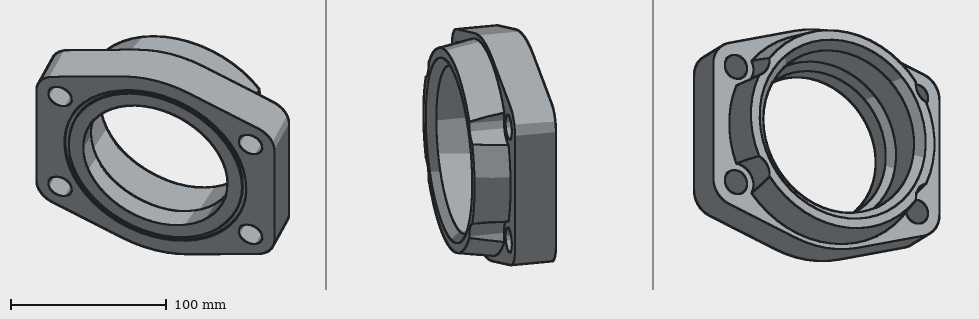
import cadquery as cq
import math

plate_width = 163.0
plate_thickness = 27.2
crown_radius = 73.5
corner_radius = 16.3

bolt_x = plate_width / 2 - corner_radius
bolt_z = 39.0
bolt_hole_diameter = 16.0
bolt_clearance_radius = 12.5

total_depth = 50.0
neck_length = total_depth - plate_thickness
neck_base_radius = 70.1
neck_end_radius = 66.2

bore_radius = 49.4
bore_step = 4.9
rear_bore_radius = bore_radius + bore_step
front_bore_length = 14.3
mouth_chamfer = 5.5
mouth_radius = rear_bore_radius + mouth_chamfer
groove_outer_radius = 62.3
groove_inner_radius = 59.3
groove_depth = 1.6

bolt_centres = [(x, z) for x in (-bolt_x, bolt_x) for z in (-bolt_z, bolt_z)]


def cylinder(radius, start_y, end_y, centre=(0, 0)):
    """Cylinder along Y, centred on the given (x, z) point."""
    return (
        cq.Workplane("XZ", origin=(centre[0], start_y, centre[1]))
        .circle(radius)
        .extrude(start_y - end_y)
    )


def cone(start_radius, end_radius, start_y):
    """Cone along +Y that widens at 45 degrees."""
    return cq.Workplane(
        cq.Solid.makeCone(
            start_radius,
            end_radius,
            end_radius - start_radius,
            pnt=cq.Vector(0, start_y, 0),
            dir=cq.Vector(0, 1, 0),
        )
    )


def make_plate():
    """Plate with straight flanks tangent to the crown and corner arcs."""
    centre_distance = math.hypot(bolt_x, bolt_z)
    flank_angle = math.atan2(bolt_x, bolt_z) - math.acos((crown_radius - corner_radius) / centre_distance)
    mid_angle = (flank_angle + math.pi / 2) / 2

    def corner_point(angle, side_x, side_z):
        return (
            side_x * (bolt_x + corner_radius * math.sin(angle)),
            side_z * (bolt_z + corner_radius * math.cos(angle)),
        )

    crown_x = crown_radius * math.sin(flank_angle)
    crown_z = crown_radius * math.cos(flank_angle)
    right_angle = math.pi / 2
    return (
        cq.Workplane("XZ")
        .moveTo(-crown_x, crown_z)
        .threePointArc((0, crown_radius), (crown_x, crown_z))
        .lineTo(*corner_point(flank_angle, 1, 1))
        .threePointArc(corner_point(mid_angle, 1, 1), corner_point(right_angle, 1, 1))
        .lineTo(*corner_point(right_angle, 1, -1))
        .threePointArc(corner_point(mid_angle, 1, -1), corner_point(flank_angle, 1, -1))
        .lineTo(crown_x, -crown_z)
        .threePointArc((0, -crown_radius), (-crown_x, -crown_z))
        .lineTo(*corner_point(flank_angle, -1, -1))
        .threePointArc(corner_point(mid_angle, -1, -1), corner_point(right_angle, -1, -1))
        .lineTo(*corner_point(right_angle, -1, 1))
        .threePointArc(corner_point(mid_angle, -1, 1), corner_point(flank_angle, -1, 1))
        .close()
        .extrude(-plate_thickness)
    )


def make_neck():
    """Conical neck, scalloped to clear the bolt heads."""
    neck = cq.Workplane(
        cq.Solid.makeCone(
            neck_base_radius,
            neck_end_radius,
            neck_length,
            pnt=cq.Vector(0, plate_thickness, 0),
            dir=cq.Vector(0, 1, 0),
        )
    )
    for centre in bolt_centres:
        neck = neck.cut(cylinder(bolt_clearance_radius, plate_thickness, total_depth, centre))
    return neck


result = make_plate().union(make_neck())

for bolt_centre in bolt_centres:
    result = result.cut(cylinder(bolt_hole_diameter / 2, 0, plate_thickness, bolt_centre))

result = result.cut(cylinder(bore_radius, 0, total_depth))
result = result.cut(cylinder(rear_bore_radius, front_bore_length + bore_step, total_depth))
result = result.cut(cone(bore_radius, rear_bore_radius, front_bore_length))
result = result.cut(cone(rear_bore_radius, mouth_radius, total_depth - mouth_chamfer))

groove = cylinder(groove_outer_radius, 0, groove_depth).cut(cylinder(groove_inner_radius, 0, groove_depth))
result = result.cut(groove)